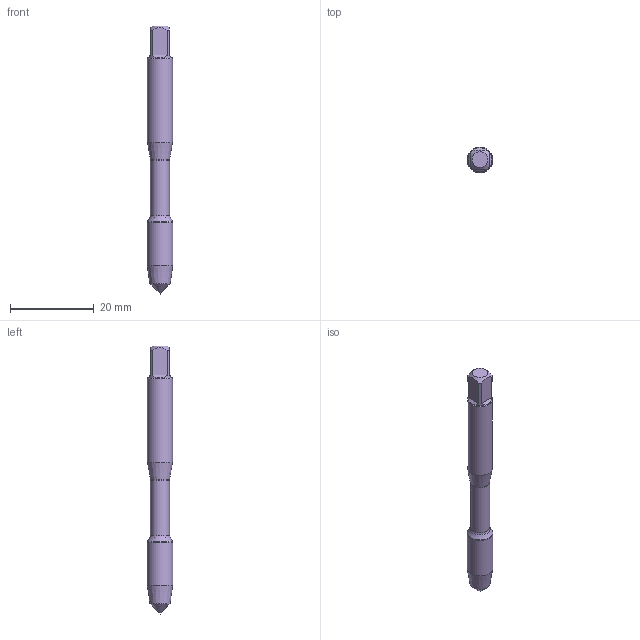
import cadquery as cq
import math


overall_length = 64.19
shank_diameter = 6.0
neck_diameter = 4.57
thread_diameter = 6.12
point_diameter = 4.86
square_side = 4.5
square_flats = 4
square_corner_diameter = 5.76
end_face_diameter = 3.78

point_slope = math.radians(45)
collar_slope = math.radians(31)

neck_fillet = 0.9

lead_top = 6.85
joint_height = 17.2
land_top = 17.34
neck_top = 32.15
taper_top = 36.25
shank_top = 56.4
flat_bottom = 57.18

shank_radius = shank_diameter / 2
neck_radius = neck_diameter / 2
thread_radius = thread_diameter / 2
point_radius = point_diameter / 2
corner_radius = square_corner_diameter / 2
end_radius = end_face_diameter / 2
point_top = point_radius / math.tan(point_slope)
neck_bottom = land_top + (thread_radius - neck_radius) / math.tan(collar_slope)
taper_slope = math.atan((shank_radius - neck_radius) / (taper_top - neck_top))
shoulder_top = shank_top + shank_radius - corner_radius
end_chamfer_bottom = overall_length - (corner_radius - end_radius)


def turned(outline):
    """Revolve a closed outline, drawn in radius and z, about the Z axis."""
    return outline.close().revolve(360, (0, 0, 0), (0, 1, 0))


def make_cutter():
    """Thread cylinder with its tapered lead and conical point."""
    outline = cq.Workplane("XZ").polyline([
        (0, 0),
        (point_radius, point_top),
        (thread_radius, lead_top),
        (thread_radius, joint_height),
        (0, joint_height),
    ])
    return turned(outline)


def make_flat_cutter():
    """Tool that cuts one flat of the square, with a 45 degree run-out at its lower end."""
    flat = square_side / 2
    clearance = 1
    outside = shank_radius + clearance
    above = overall_length + clearance
    return (
        cq.Workplane("XZ")
        .polyline([
            (flat, flat_bottom),
            (outside, flat_bottom - (outside - flat)),
            (outside, above),
            (flat, above),
        ])
        .close()
        .extrude(shank_diameter, both=True)
    )


def make_shank():
    """Narrow land, collar cone, neck, taper, shank and driving square."""
    collar_tangent = neck_fillet * math.tan(collar_slope / 2)
    taper_tangent = neck_fillet * math.tan(taper_slope / 2)
    collar_arc_start = (
        neck_radius + collar_tangent * math.sin(collar_slope),
        neck_bottom - collar_tangent * math.cos(collar_slope),
    )
    taper_arc_end = (
        neck_radius + taper_tangent * math.sin(taper_slope),
        neck_top + taper_tangent * math.cos(taper_slope),
    )
    outline = (
        cq.Workplane("XZ")
        .moveTo(0, joint_height)
        .lineTo(thread_radius, joint_height)
        .lineTo(thread_radius, land_top)
        .lineTo(*collar_arc_start)
        .tangentArcPoint((neck_radius, neck_bottom + collar_tangent), relative=False)
        .lineTo(neck_radius, neck_top - taper_tangent)
        .tangentArcPoint(taper_arc_end, relative=False)
        .lineTo(shank_radius, taper_top)
        .lineTo(shank_radius, shank_top)
        .lineTo(corner_radius, shoulder_top)
        .lineTo(corner_radius, end_chamfer_bottom)
        .lineTo(end_radius, overall_length)
        .lineTo(0, overall_length)
    )
    body = turned(outline)

    flat_cutter = make_flat_cutter()
    for side in range(square_flats):
        body = body.cut(flat_cutter.rotate((0, 0, 0), (0, 0, 1), side * 360 / square_flats))
    return body


cutter = make_cutter()
shank = make_shank()
result = cq.Compound.makeCompound([cutter.val(), shank.val()])